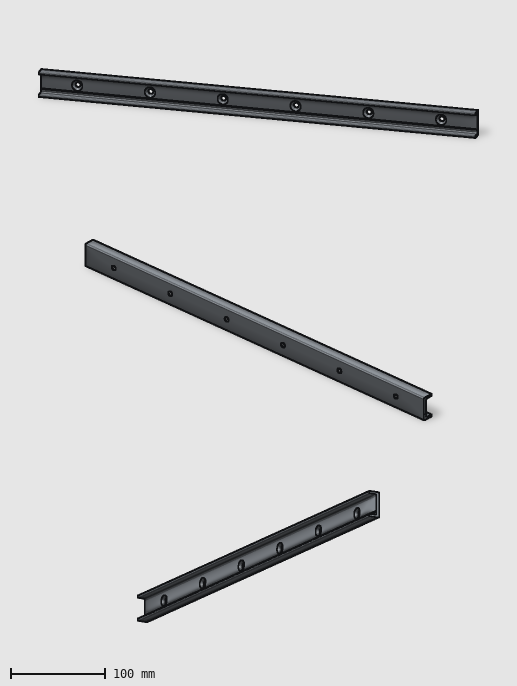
import cadquery as cq

length = 480.0
depth = 12.5
height = 28.0
web_thickness = 4.0
flange_thickness = 2.65
tip_radius = 0.6
root_radius = 1.5
back_radius = 1.5

groove_z = -7.0
groove_width = 1.0
groove_depth = 0.25

hole_count = 6
hole_pitch = length / hole_count
hole_diameter = 5.5
countersink_diameter = 11.5
countersink_angle = 90.0

web_front_y = depth / 2 - web_thickness


def channel():
    """Solid bar with the space between the flanges removed."""
    bar = cq.Workplane("XY").box(length, depth, height)
    opening = (
        cq.Workplane("XY")
        .box(length, depth, height - 2 * flange_thickness)
        .translate((0, -web_thickness, 0))
        .edges("|X and >Y")
        .fillet(root_radius)
    )
    bar = bar.edges("|X and >Y").fillet(back_radius)
    return bar.cut(opening).edges("|X and <Y").fillet(tip_radius)


def add_mounting_holes(rail):
    """Row of through holes along the web, countersunk from the open side."""
    return (
        rail.copyWorkplane(cq.Workplane("XZ", origin=(0, web_front_y, 0)))
        .rarray(hole_pitch, 5, hole_count, 1)
        .cskHole(hole_diameter, countersink_diameter, countersink_angle)
    )


def marking_groove():
    """Cutter for the square groove in the open face of the web."""
    cutter = cq.Workplane("XY").box(length, 2 * groove_depth, groove_width)
    return cutter.translate((0, web_front_y, groove_z))


result = add_mounting_holes(channel()).cut(marking_groove())